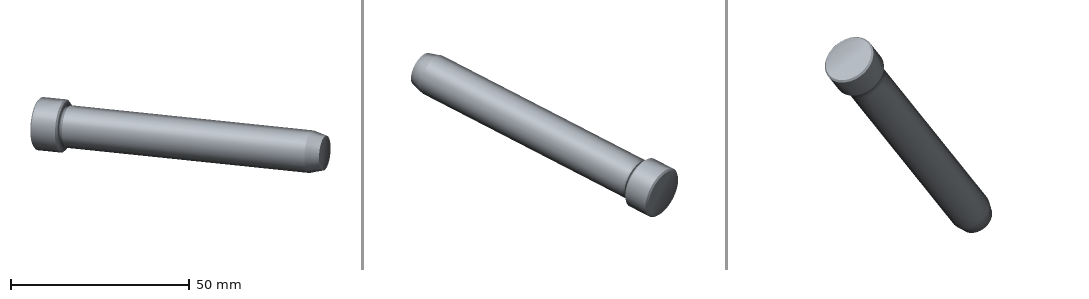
import cadquery as cq
import math

total_length = 85.0
head_diameter = 15.0
head_length = 8.0
head_chamfer = 0.5
shaft_diameter = 12.0
undercut_length = 1.0
undercut_step = 0.25
undercut_sag = 0.38
tip_length = 4.0
tip_half_angle = 15.0

head_radius = head_diameter / 2
shaft_radius = shaft_diameter / 2
tip_radius = shaft_radius - tip_length * math.tan(math.radians(tip_half_angle))


def make_head():
    """Cylindrical head with both rims chamfered."""
    head = cq.Workplane("YZ").circle(head_radius).extrude(head_length)
    return head.edges("%CIRCLE").chamfer(head_chamfer)


def make_shank():
    """Hollow undercut behind the head, straight shaft and tapered tip, turned about X."""
    neck_radius = shaft_radius - undercut_step
    shaft_start = head_length + undercut_length
    shaft_end = total_length - tip_length

    profile = (
        cq.Workplane("XY")
        .moveTo(head_length, 0)
        .lineTo(head_length, neck_radius)
        .sagittaArc((shaft_start, shaft_radius), -undercut_sag)
        .lineTo(shaft_end, shaft_radius)
        .lineTo(total_length, tip_radius)
        .lineTo(total_length, 0)
        .close()
    )
    return profile.revolve(360, (0, 0, 0), (1, 0, 0))


result = make_head().union(make_shank())